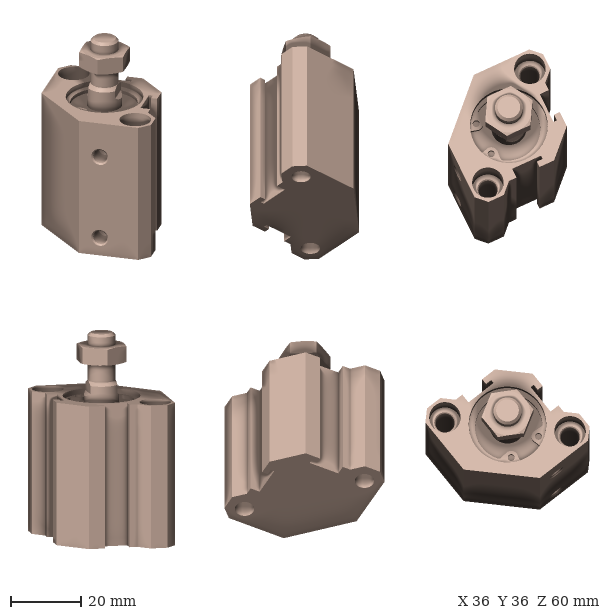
import cadquery as cq
import math


total_height = 60.0
body_half = 18.0
body_height = 41.5

side_face = 14.9
lug_chamfer = 2.95
lug_face_end = -10.2
plain_chamfer_end = -2.5
corner_chamfer_start = 7.2

slot_start = -4.7
slot_floor = 12.0
slot_end = 4.45
lip_end = 2.6
lip_underside = 13.1

mount_offset = 12.7
mount_hole_diameter = 5.5
mount_bore_diameter = 9.0
mount_bore_depth = 7.0
mount_chamfer = 0.3

port_x = 3.65
port_heights = (5.5, 30.95)
port_diameter = 4.15
port_mouth_diameter = 5.0
port_mouth_angle = 90.0
port_depth = 6.0
port_tip_angle = 118.0

recess_diameter = 22.2
recess_depth = 2.5
ring_outer_diameter = 22.0
ring_thickness = 1.0
ring_side_radius = 9.65
ring_side_center_y = -0.6
ring_crown_y = 8.9
ring_corner_x = 7.7
ring_shoulder_x = 7.85
ring_shoulder_y = -6.25
ring_shoulder_fillet = 0.9
ear_x = 5.0
ear_y = -8.0
ear_radius = 2.0
ear_hole_diameter = 2.0
ear_gap_half = 3.6

rod_diameter = 10.0
thread_diameter = 8.0
thread_tip_diameter = 6.5
shoulder_height = 46.1
flat_width = 8.0
flat_bottom = 42.7

nut_width = 12.95
nut_bottom = 51.5
nut_thickness = 5.05
nut_chamfer_angle = 15.0
hex_half_sector = 30.0

recess_floor = body_height - recess_depth


def make_blank():
    """Housing block with its lugs and sensor slots, before any drilling."""
    lug_step = lug_face_end + body_half - side_face
    lower_right = [
        (plain_chamfer_end, -body_half),
        (body_half - lug_chamfer, -body_half),
        (body_half, -body_half + lug_chamfer),
        (body_half, lug_face_end),
        (side_face, lug_step),
        (side_face, slot_start),
        (slot_floor, slot_start),
        (slot_floor, slot_end),
        (lip_underside, slot_end),
        (lip_underside, lip_end),
        (side_face, lip_end),
        (side_face, corner_chamfer_start),
    ]
    mirrored = [(y, x) for x, y in reversed(lower_right)]
    return cq.Workplane("XY").polyline(lower_right + mirrored).close().extrude(body_height)


def make_mount_hole(x, y):
    """Cutter for a through hole with a deep counterbore from the top."""
    cone_top = body_height - mount_bore_depth
    hole_radius = mount_hole_diameter / 2
    bore_radius = mount_bore_diameter / 2
    profile = [
        (0, 0),
        (hole_radius, 0),
        (hole_radius, cone_top - mount_chamfer),
        (hole_radius + mount_chamfer, cone_top),
        (bore_radius, cone_top),
        (bore_radius, body_height),
        (0, body_height),
    ]
    hole = cq.Workplane("XZ").polyline(profile).close().revolve(360, (0, 0), (0, 1))
    return hole.translate((x, y, 0))


def make_port(z):
    """Drilled port in the -Y face, with a chamfered mouth and a conical end."""
    radius = port_diameter / 2
    mouth_radius = port_mouth_diameter / 2
    mouth_depth = (mouth_radius - radius) / math.tan(math.radians(port_mouth_angle / 2))
    tip = radius / math.tan(math.radians(port_tip_angle / 2))
    profile = [
        (0, 0),
        (mouth_radius, 0),
        (radius, mouth_depth),
        (radius, port_depth),
        (0, port_depth + tip),
    ]
    port = cq.Workplane("XY").polyline(profile).close().revolve(360, (0, 0), (0, 1))
    return port.translate((port_x, -body_half, z))


def make_ring():
    """Retaining ring with two drilled ears, standing on the recess floor just clear of its wall."""
    outer_radius = ring_outer_diameter / 2
    gap_y = -math.sqrt(outer_radius**2 - ear_gap_half**2)
    side_y = ring_side_center_y
    corner_y = side_y + math.sqrt(ring_side_radius**2 - ring_corner_x**2)
    ear_top = (ear_x, ear_y + ear_radius)
    ear_inner = (ear_x - ear_radius, ear_y)
    diagonal = ear_radius * math.sqrt(0.5)
    ear_middle = (ear_x - diagonal, ear_y + diagonal)
    ring = (
        cq.Workplane("XY")
        .moveTo(ear_gap_half, gap_y)
        .threePointArc((0, outer_radius), (-ear_gap_half, gap_y))
        .lineTo(-ear_inner[0], ear_inner[1])
        .threePointArc((-ear_middle[0], ear_middle[1]), (-ear_top[0], ear_top[1]))
        .lineTo(-ring_shoulder_x, ring_shoulder_y)
        .threePointArc((-ring_side_radius, side_y), (-ring_corner_x, corner_y))
        .threePointArc((0, ring_crown_y), (ring_corner_x, corner_y))
        .threePointArc((ring_side_radius, side_y), (ring_shoulder_x, ring_shoulder_y))
        .lineTo(*ear_top)
        .threePointArc(ear_middle, ear_inner)
        .close()
        .extrude(ring_thickness)
    )
    for side in (-1, 1):
        shoulder = cq.NearestToPointSelector((side * ring_shoulder_x, ring_shoulder_y, ring_thickness / 2))
        ring = ring.edges("|Z").edges(shoulder).fillet(ring_shoulder_fillet)
    ear_holes = (
        cq.Workplane("XY")
        .pushPoints([(-ear_x, ear_y), (ear_x, ear_y)])
        .circle(ear_hole_diameter / 2)
        .extrude(ring_thickness)
    )
    return ring.cut(ear_holes).translate((0, 0, recess_floor))


def make_housing():
    """Drilled housing block with the retaining ring fixed in its top recess."""
    housing = make_blank()
    for sign in (-1, 1):
        housing = housing.cut(make_mount_hole(sign * mount_offset, -sign * mount_offset))
    for height in port_heights:
        housing = housing.cut(make_port(height))
    recess_start = cq.Workplane("XY", origin=(0, 0, recess_floor))
    recess = recess_start.circle(recess_diameter / 2).extrude(recess_depth)
    return housing.cut(recess).union(make_ring())


def make_rod():
    """Piston rod that stands on the recess floor and narrows to the thread diameter."""
    rod_radius = rod_diameter / 2
    thread_radius = thread_diameter / 2
    tip_radius = thread_tip_diameter / 2
    profile = [
        (0, recess_floor),
        (rod_radius, recess_floor),
        (rod_radius, shoulder_height - (rod_radius - thread_radius)),
        (thread_radius, shoulder_height),
        (thread_radius, total_height - (thread_radius - tip_radius)),
        (tip_radius, total_height),
        (0, total_height),
    ]
    rod = cq.Workplane("XZ").polyline(profile).close().revolve(360, (0, 0), (0, 1))
    return rod.cut(make_flat(1)).cut(make_flat(-1))


def make_flat(side):
    """Cutter for one wrench flat, which runs out at 45 degrees at its lower end."""
    inner = flat_width / 2
    outer = rod_diameter / 2
    profile = [
        (side * inner, flat_bottom),
        (side * outer, flat_bottom - (outer - inner)),
        (side * outer, shoulder_height),
        (side * inner, shoulder_height),
    ]
    return cq.Workplane("XZ").polyline(profile).close().extrude(rod_diameter / 2, both=True)


def make_nut():
    """Hexagon nut with chamfered corners on both ends, flats facing +X and -X."""
    corner_radius = nut_width / 2 / math.cos(math.radians(hex_half_sector))
    face_radius = nut_width / 2
    drop = (corner_radius - face_radius) * math.tan(math.radians(nut_chamfer_angle))
    hexagon = cq.Workplane("XY").polygon(6, 2 * corner_radius).extrude(nut_thickness)
    hexagon = hexagon.rotate((0, 0, 0), (0, 0, 1), hex_half_sector)
    profile = [
        (thread_diameter / 2, 0),
        (face_radius, 0),
        (corner_radius, drop),
        (corner_radius, nut_thickness - drop),
        (face_radius, nut_thickness),
        (thread_diameter / 2, nut_thickness),
    ]
    envelope = cq.Workplane("XZ").polyline(profile).close().revolve(360, (0, 0), (0, 1))
    return hexagon.intersect(envelope).translate((0, 0, nut_bottom))


housing = make_housing()
rod = make_rod()
nut = make_nut()

result = cq.Compound.makeCompound([housing.val(), rod.val(), nut.val()])